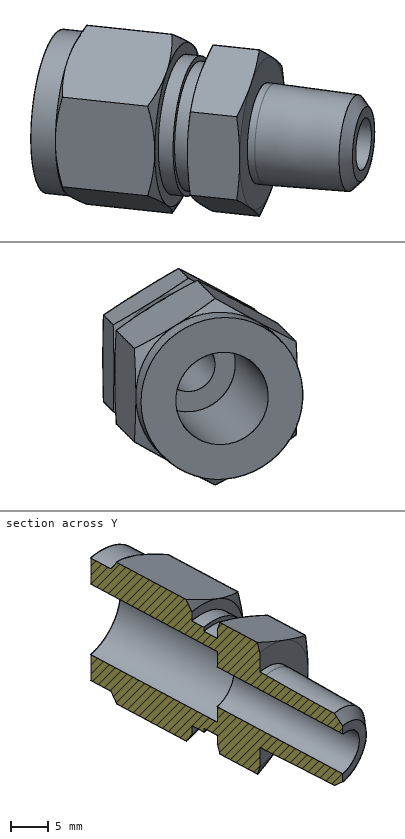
import cadquery as cq
import math

LENGTH = 43.45
COLLAR_END = 3.47
NUT_END = 17.45
SHOULDER_END = 19.55
NECK_END = 21.8
BODY_HEX_END = 29.2
SHANK_END = 30.23
TAPER_END = 42.0

COLLAR_DIA = 22.25
SHOULDER_DIA = 19.02
NECK_DIA = 17.65
SHANK_DIA = 13.72
TAPER_END_DIA = 13.1
TIP_DIA = 10.15

NUT_FLATS = COLLAR_DIA
BODY_FLATS = 20.67
NUT_CHAMFER_ANGLE = 30.0
BODY_CHAMFER_ANGLE = 15.0

TUBE_BORE_DIA = 12.7
TUBE_BORE_DEPTH = NECK_END
THROUGH_BORE_DIA = 7.12


def revolve_profile(points):
    """Solid of revolution about X from (x, radius) points; the axis closes the outline."""
    return cq.Workplane("XY").polyline(points).close().revolve(360, (0, 0, 0), (1, 0, 0))


def cylinder(start, end, diameter):
    return cq.Workplane("YZ").workplane(offset=start).circle(diameter / 2).extrude(end - start)


def chamfered_hex(start, end, flats, chamfer_angle):
    """Hexagon along X, corners up and down in Z, both ends turned down to the flats circle."""
    corners = flats / math.cos(math.radians(30))
    chamfer = (corners - flats) / 2 * math.tan(math.radians(chamfer_angle))
    prism = (
        cq.Workplane("YZ")
        .workplane(offset=start)
        .transformed(rotate=(0, 0, 90))
        .polygon(6, corners)
        .extrude(end - start)
    )
    envelope = revolve_profile([
        (start, 0),
        (start, flats / 2),
        (start + chamfer, corners / 2),
        (end - chamfer, corners / 2),
        (end, flats / 2),
        (end, 0),
    ])
    return prism.intersect(envelope)


turned_body = revolve_profile([
    (0, 0),
    (0, COLLAR_DIA / 2),
    (COLLAR_END, COLLAR_DIA / 2),
    (COLLAR_END, SHOULDER_DIA / 2),
    (SHOULDER_END, SHOULDER_DIA / 2),
    (SHOULDER_END, NECK_DIA / 2),
    (NECK_END, NECK_DIA / 2),
    (NECK_END, SHANK_DIA / 2),
    (SHANK_END, SHANK_DIA / 2),
    (TAPER_END, TAPER_END_DIA / 2),
    (LENGTH, TIP_DIA / 2),
    (LENGTH, 0),
])

nut = chamfered_hex(COLLAR_END, NUT_END, NUT_FLATS, NUT_CHAMFER_ANGLE)
body_hex = chamfered_hex(NECK_END, BODY_HEX_END, BODY_FLATS, BODY_CHAMFER_ANGLE)

tube_bore = cylinder(0, TUBE_BORE_DEPTH, TUBE_BORE_DIA)
through_bore = cylinder(0, LENGTH, THROUGH_BORE_DIA)

result = turned_body.union(nut).union(body_hex).cut(tube_bore).cut(through_bore)